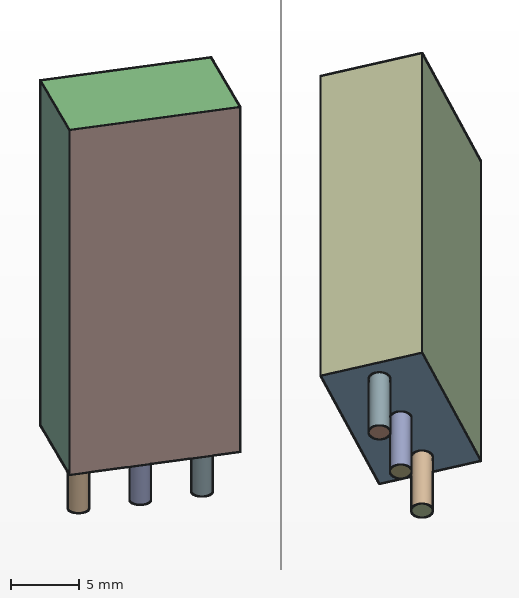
import cadquery as cq

housing_width = 7.9
housing_depth = 13.0
housing_height = 28.8

pin_diameter = 1.6
pin_length = 5.1
pin_count = 3
pin_pitch = 4.7


def make_housing():
    """Plain block standing on the XY plane, centred on the Z axis."""
    return cq.Workplane("XY").box(
        housing_width, housing_depth, housing_height, centered=(True, True, False)
    )


def make_pin(y):
    """Round pin hanging from the underside of the housing."""
    return cq.Workplane("XY").center(0, y).circle(pin_diameter / 2).extrude(-pin_length)


housing = make_housing()

first_pin_y = -pin_pitch * (pin_count - 1) / 2
pins = [make_pin(first_pin_y + i * pin_pitch) for i in range(pin_count)]

result = cq.Compound.makeCompound([housing.val(), *[pin.val() for pin in pins]])